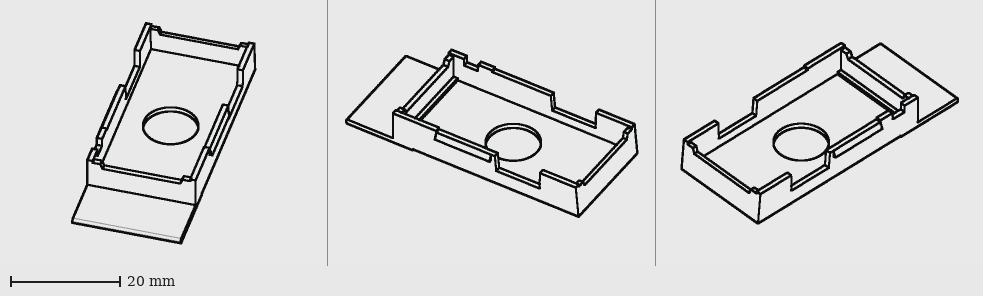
import cadquery as cq

total_length = 50.0
body_width = 20.65
height = 7.1
y_back = total_length / 2
y_tip = -total_length / 2

body_bottom = 0.25
plate = 1.05
wall = 1.05
floor_top = body_bottom + plate
y_front = -14.95
y_bottom_step = -10.7
back_lean = 0.6
back_wall = 0.85
tip_round = 0.45
ledge_depth = 0.9
ledge_height = 0.5

notch_back = 16.6
notch_front = 7.3
notch_floor = 3.3
notch_lean_back = 0.1
notch_lean_front = 0.3
low_rim = 6.75
low_rim_front = -5.6
recess_back = -8.6
recess_front = -11.65
recess_floor = 5.55
recess_lean = 0.15

shoulder_top = 6.65
crest = 5.6
shoulder_width = 1.45
dip_slope_width = 0.45

ridge_back = 6.15
ridge_bottom = 5.4
ridge_reach = 0.525

hole_diameter = 10.2
hole_y = 4.65

half_width = body_width / 2
inner_half = half_width - wall
lean_slope = back_lean / (height - body_bottom)


def back_face_y(z):
    """Y of the leaning outer back face at height z."""
    return y_back - lean_slope * (z - body_bottom)


def extrude_across(points, x_start, x_end):
    """Extrude a closed (Y, Z) outline from x_start to x_end."""
    outline = cq.Workplane("YZ", origin=(x_start, 0, 0)).polyline(points).close()
    return outline.extrude(x_end - x_start)


def make_body():
    outline = [
        (y_back, body_bottom),
        (back_face_y(height), height),
        (y_front, height),
        (y_front, plate),
        (y_tip, plate),
        (y_tip, 0),
        (y_bottom_step, 0),
        (y_bottom_step, body_bottom),
    ]
    body = extrude_across(outline, -half_width, half_width)
    return body.faces("<Y").edges("|X").fillet(tip_round)


def make_cavity():
    """Space inside the walls, with a low ledge along the front wall."""
    y_inner_front = y_front + wall
    ledge_top = floor_top + ledge_height
    outline = [
        (back_face_y(floor_top) - back_wall, floor_top),
        (back_face_y(height) - back_wall, height),
        (y_inner_front, height),
        (y_inner_front, ledge_top),
        (y_inner_front + ledge_depth, ledge_top),
        (y_inner_front + ledge_depth, floor_top),
    ]
    return extrude_across(outline, -inner_half, inner_half)


def make_end_dips():
    """Stepped dip cut through the tops of both end walls."""
    dip_top_half = inner_half - shoulder_width
    dip_half = dip_top_half - dip_slope_width
    outline = [
        (-inner_half, height),
        (-inner_half, shoulder_top),
        (-dip_top_half, shoulder_top),
        (-dip_half, crest),
        (dip_half, crest),
        (dip_top_half, shoulder_top),
        (inner_half, shoulder_top),
        (inner_half, height),
    ]
    return cq.Workplane("XZ", origin=(0, y_back, 0)).polyline(outline).close().extrude(total_length)


def make_side_notches():
    """Deep notch and lowered rim, cut through both side walls."""
    outline = [
        (notch_back + notch_lean_back, height),
        (notch_back, notch_floor),
        (notch_front, notch_floor),
        (notch_front - notch_lean_front, low_rim),
        (low_rim_front, low_rim),
        (low_rim_front, height),
    ]
    return extrude_across(outline, -half_width, half_width)


def make_rim_recess():
    """Small recess in the rim of the -X wall only."""
    outline = [
        (recess_back, height),
        (recess_back - recess_lean, recess_floor),
        (recess_front, recess_floor),
        (recess_front, height),
    ]
    return extrude_across(outline, -half_width, -inner_half)


def make_ridge(side):
    """Wedge-shaped snap ridge; side is -1 for -X and 1 for +X."""
    outline = [
        (side * inner_half, low_rim),
        (side * half_width, low_rim),
        (side * (half_width + ridge_reach), ridge_bottom),
        (side * inner_half, ridge_bottom),
    ]
    start = cq.Workplane("XZ", origin=(0, ridge_back, 0))
    return start.polyline(outline).close().extrude(ridge_back - low_rim_front)


def make_hole():
    return cq.Workplane("XY").center(0, hole_y).circle(hole_diameter / 2).extrude(height)


result = make_body()
for cutter in (make_cavity(), make_end_dips(), make_side_notches(), make_rim_recess(), make_hole()):
    result = result.cut(cutter)
for side in (-1, 1):
    result = result.union(make_ridge(side))